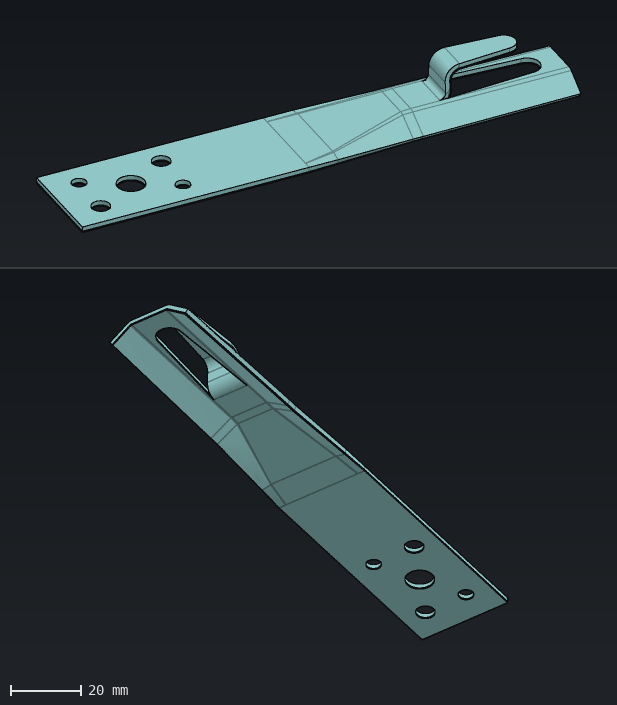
import cadquery as cq
import math

SHEET = 1.9
FACE_LAYER = 1.5
INNER_LAYER = 0.3
INNER_END = FACE_LAYER + INNER_LAYER

CREASE_RADIUS = 2.5
MIN_CREASE_LEG = 0.08

LENGTH = 159.0
PLATE_END = 72.0
RAMP_FOOT = 81.2
RAMP_HEAD = 105.4
CHANNEL_START = 108.6

WIDTH = 29.5
HOLE_ROW_Y = 22.7
HOLE_DX = 7.0
HOLE_DY = 13.0
CENTRE_HOLE = 8.5
LARGE_HOLE = 5.5
SMALL_HOLE = 4.5

CHANNEL_TOP = 6.5
RAMP_FOOT_TOP = 2.7
RAMP_HEAD_TOP = 6.4
CHANNEL_APEX = 6.7
RAMP_FOOT_APEX = 11.5
PLATE_APEX = 12.4
FLANK_EDGE_Z = 1.7
PLATE_HALF = WIDTH / 2
CHANNEL_START_HALF = 14.2
CHANNEL_END_HALF = 13.5

HEIGHT = 16.5
SLOT_BASE_Y = 118.0
SLOT_BASE_WIDTH = 11.5
SLOT_TIP_Y = 152.5
SLOT_TIP_WIDTH = 8.0
HOOK_TIP_Y = 144.8
HOOK_TIP_WIDTH = 7.5
HOOK_SHOULDER_WIDTH = 9.9
FOOT_RADIUS = 1.9
SHOULDER_RADIUS = 4.8
HOOK_FRONT_Y = SLOT_BASE_Y + FOOT_RADIUS
SHOULDER_Y = HOOK_FRONT_Y + SHOULDER_RADIUS

FLAT_TOLERANCE = 1.59e-06


def surface_points(top, apex, edge_half, edge_z, depth):
    """Half profile of the bent sheet at a depth below its top face.

    Returns the crease start, middle and end on the rounded corner, then the free edge of the flank.
    """
    angle = math.atan2(top - edge_z, edge_half - apex)
    shift = depth * math.tan(angle / 2)
    leg = max(CREASE_RADIUS * math.tan(angle / 2), MIN_CREASE_LEG) - shift
    corner_x = apex - shift
    corner_z = top - depth
    start = (corner_x - leg, corner_z)
    end = (corner_x + leg * math.cos(angle), corner_z - leg * math.sin(angle))
    rise = leg * math.tan(angle / 4)
    middle = (
        (start[0] + end[0]) / 2 + rise * math.cos(angle / 2) * math.sin(angle / 2),
        (start[1] + end[1]) / 2 + rise * math.cos(angle / 2) ** 2,
    )
    edge = (edge_half - depth * math.sin(angle), edge_z - depth * math.cos(angle))
    return start, middle, end, edge


def surface_edges(y, half_profile):
    """Edges of one face of the sheet at y, running from the left free edge to the right one."""
    start, middle, end, edge = half_profile

    def right(point):
        return cq.Vector(point[0], y, point[1])

    def left(point):
        return cq.Vector(-point[0], y, point[1])

    def bend(first, between, last):
        if abs(first.z - last.z) < FLAT_TOLERANCE:
            return cq.Edge.makeLine(first, last)
        return cq.Edge.makeThreePointArc(first, between, last)

    return [
        cq.Edge.makeLine(left(edge), left(end)),
        bend(left(end), left(middle), left(start)),
        cq.Edge.makeLine(left(start), right(start)),
        bend(right(start), right(middle), right(end)),
        cq.Edge.makeLine(right(end), right(edge)),
    ]


def section(y, top, apex, edge_half, edge_z, upper, lower):
    """Closed wire of one layer at y: a flat web with a flank sloping down on each side."""
    upper_edges = surface_edges(y, surface_points(top, apex, edge_half, edge_z, upper))
    lower_edges = surface_edges(y, surface_points(top, apex, edge_half, edge_z, lower))
    left_side = cq.Edge.makeLine(lower_edges[0].startPoint(), upper_edges[0].startPoint())
    right_side = cq.Edge.makeLine(upper_edges[-1].endPoint(), lower_edges[-1].endPoint())
    return cq.Wire.assembleEdges([left_side, *upper_edges, right_side, *reversed(lower_edges)])


def make_plate(upper, lower):
    """Flat mounting plate with one centre hole and two diagonal pairs of smaller holes."""
    thickness = lower - upper
    top_plane = cq.Workplane("XY", origin=(0, 0, SHEET - upper))
    near_y = HOLE_ROW_Y - HOLE_DY
    far_y = HOLE_ROW_Y + HOLE_DY
    holes = (
        (CENTRE_HOLE, [(0, HOLE_ROW_Y)]),
        (LARGE_HOLE, [(HOLE_DX, near_y), (-HOLE_DX, far_y)]),
        (SMALL_HOLE, [(-HOLE_DX, near_y), (HOLE_DX, far_y)]),
    )
    plate = top_plane.center(0, PLATE_END / 2).rect(WIDTH, PLATE_END).extrude(-thickness)
    for diameter, centres in holes:
        plate = plate.cut(top_plane.pushPoints(centres).circle(diameter / 2).extrude(-thickness))
    return plate


def make_ramp(upper, lower):
    """Ramp that rises from the flat plate and folds down its flanks to meet the channel."""
    stations = (
        (PLATE_END, SHEET, PLATE_APEX, PLATE_HALF, SHEET),
        (RAMP_FOOT, RAMP_FOOT_TOP, RAMP_FOOT_APEX, PLATE_HALF, SHEET),
        (RAMP_HEAD, RAMP_HEAD_TOP, CHANNEL_APEX, CHANNEL_START_HALF, FLANK_EDGE_Z),
        (CHANNEL_START, CHANNEL_TOP, CHANNEL_APEX, CHANNEL_START_HALF, FLANK_EDGE_Z),
    )
    wires = [section(*station, upper, lower) for station in stations]
    return cq.Workplane(cq.Solid.makeLoft(wires, True))


def tongue(side_stations, tip_y, tip_width):
    """Tall prism with a round tip; its sides pass through the given (y, width) stations."""
    arc_y = tip_y - tip_width / 2
    stations = side_stations + [(arc_y, tip_width)]
    right_side = [(width / 2, y) for y, width in stations]
    left_side = [(-x, y) for x, y in reversed(right_side)]
    return (
        cq.Workplane("XY")
        .polyline(right_side)
        .threePointArc((0, tip_y), left_side[0])
        .polyline(left_side[1:], includeCurrent=True)
        .close()
        .extrude(HEIGHT)
    )


def slot_opening():
    """Prism that cuts the slot and also bounds the foot of the hook."""
    return tongue([(SLOT_BASE_Y, SLOT_BASE_WIDTH)], SLOT_TIP_Y, SLOT_TIP_WIDTH)


def make_channel(upper, lower):
    """Channel with sloping flanks and a tapered slot."""
    stations = (
        (CHANNEL_START, CHANNEL_TOP, CHANNEL_APEX, CHANNEL_START_HALF, FLANK_EDGE_Z),
        (LENGTH, CHANNEL_TOP, CHANNEL_APEX, CHANNEL_END_HALF, FLANK_EDGE_Z),
    )
    wires = [section(*station, upper, lower) for station in stations]
    return cq.Workplane(cq.Solid.makeLoft(wires, True)).cut(slot_opening())


def hook_path(depth):
    """Points of one hook face in (Y, Z), from the slot's square end to the tip.

    The second and fifth points lie halfway round the foot bend and the shoulder bend.
    """
    foot_radius = FOOT_RADIUS + depth
    shoulder_radius = SHOULDER_RADIUS - depth
    foot_z = CHANNEL_TOP + FOOT_RADIUS
    shoulder_z = HEIGHT - SHOULDER_RADIUS
    riser_y = HOOK_FRONT_Y + depth
    diagonal = math.sqrt(0.5)
    return [
        (SLOT_BASE_Y, CHANNEL_TOP - depth),
        (SLOT_BASE_Y + foot_radius * diagonal, foot_z - foot_radius * diagonal),
        (riser_y, foot_z),
        (riser_y, shoulder_z),
        (SHOULDER_Y - shoulder_radius * diagonal, shoulder_z + shoulder_radius * diagonal),
        (SHOULDER_Y, HEIGHT - depth),
        (HOOK_TIP_Y, HEIGHT - depth),
    ]


def make_hook(upper, lower):
    """Tongue bent up out of the slot and then bent over to run along the channel."""
    outer = hook_path(upper)
    inner = hook_path(lower)[::-1]
    strip = (
        cq.Workplane("YZ")
        .moveTo(*outer[0])
        .threePointArc(outer[1], outer[2])
        .lineTo(*outer[3])
        .threePointArc(outer[4], outer[5])
        .lineTo(*outer[6])
        .lineTo(*inner[0])
        .lineTo(*inner[1])
        .threePointArc(inner[2], inner[3])
        .lineTo(*inner[4])
        .threePointArc(inner[5], inner[6])
        .close()
        .extrude(SLOT_BASE_WIDTH / 2, both=True)
    )
    arm_taper = tongue(
        [(SLOT_BASE_Y, SLOT_BASE_WIDTH), (HOOK_FRONT_Y, SLOT_BASE_WIDTH), (SHOULDER_Y, HOOK_SHOULDER_WIDTH)],
        HOOK_TIP_Y,
        HOOK_TIP_WIDTH,
    )
    riser_taper = (
        cq.Workplane("XZ", origin=(0, HOOK_TIP_Y, 0))
        .moveTo(-SLOT_BASE_WIDTH / 2, 0)
        .lineTo(SLOT_BASE_WIDTH / 2, 0)
        .lineTo(SLOT_BASE_WIDTH / 2, CHANNEL_TOP)
        .lineTo(HOOK_SHOULDER_WIDTH / 2, HEIGHT)
        .lineTo(-HOOK_SHOULDER_WIDTH / 2, HEIGHT)
        .lineTo(-SLOT_BASE_WIDTH / 2, CHANNEL_TOP)
        .close()
        .extrude(HOOK_TIP_Y - SLOT_BASE_Y)
    )
    return strip.intersect(slot_opening()).intersect(arm_taper).intersect(riser_taper)


def make_layer(upper, lower):
    """One full-length layer of the sheet, between two depths below the top face."""
    strip = make_plate(upper, lower).union(make_ramp(upper, lower))
    return strip.union(make_channel(upper, lower)).union(make_hook(upper, lower))


face_layer = make_layer(0, FACE_LAYER)
inner_layer = make_layer(FACE_LAYER, INNER_END)
back_layer = make_layer(INNER_END, SHEET)

result = cq.Compound.makeCompound([face_layer.val(), inner_layer.val(), back_layer.val()])